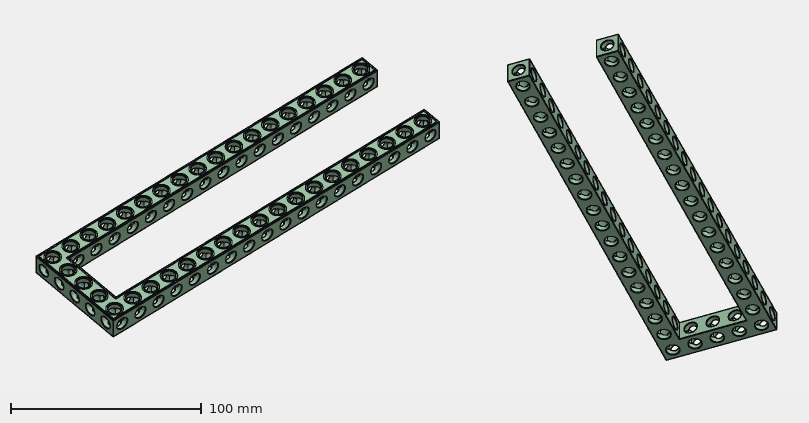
import cadquery as cq

PITCH = 12.5
CELLS_X = 5
CELLS_Y = 18
HOLE_DIAMETER = 7.0
CHAMFER = 0.3
RIM_WIDTH = 1.1
RECESS_DEPTH = 0.2

WIDTH = CELLS_X * PITCH
LENGTH = CELLS_Y * PITCH
HEIGHT = PITCH
HOLE_RADIUS = HOLE_DIAMETER / 2
MOUTH_RADIUS = HOLE_RADIUS + CHAMFER
HOLE_RIM_RADIUS = HOLE_RADIUS + RIM_WIDTH

COLUMN_X = [(i + 0.5) * PITCH - WIDTH / 2 for i in range(CELLS_X)]
ROW_Y = [(j + 0.5) * PITCH - LENGTH / 2 for j in range(CELLS_Y)]
BASE_CELLS = [(x, ROW_Y[0]) for x in COLUMN_X]
LEG_CELLS = [(x, y) for x in (COLUMN_X[0], COLUMN_X[-1]) for y in ROW_Y[1:]]
CELLS = BASE_CELLS + LEG_CELLS


def u_prism(inset, bottom, top):
    """Prism of the U outline, with every side moved inwards by `inset`."""
    outer_x = WIDTH / 2 - inset
    inner_x = WIDTH / 2 - PITCH + inset
    leg_end_y = LENGTH / 2 - inset
    base_outer_y = -LENGTH / 2 + inset
    base_inner_y = -LENGTH / 2 + PITCH - inset
    outline = [
        (-outer_x, base_outer_y),
        (outer_x, base_outer_y),
        (outer_x, leg_end_y),
        (inner_x, leg_end_y),
        (inner_x, base_inner_y),
        (-inner_x, base_inner_y),
        (-inner_x, leg_end_y),
        (-outer_x, leg_end_y),
    ]
    return cq.Workplane("XY").workplane(offset=bottom).polyline(outline).close().extrude(top - bottom)


def make_body():
    """Chamfered U; only the two vertical edges in the inner corners stay sharp."""
    body = u_prism(0, -HEIGHT / 2, HEIGHT / 2)
    inner_corner_x = WIDTH / 2 - PITCH
    inner_corner_y = PITCH - LENGTH / 2

    def is_inner_corner(edge):
        center = edge.Center()
        reach = cq.Vector(abs(center.x), center.y, center.z)
        return (reach - cq.Vector(inner_corner_x, inner_corner_y, 0)).Length < CHAMFER

    edges = [edge for edge in body.edges().vals() if not is_inner_corner(edge)]
    return body.newObject(edges).chamfer(CHAMFER)


def make_top_recess():
    """Shallow pocket in the top face, inside the edge rim and around the rims of the holes."""
    floor = HEIGHT / 2 - RECESS_DEPTH
    hole_rims = (
        cq.Workplane("XY").workplane(offset=floor)
        .pushPoints(CELLS).circle(HOLE_RIM_RADIUS).extrude(RECESS_DEPTH)
    )
    return u_prism(RIM_WIDTH, floor, HEIGHT / 2).cut(hole_rims)


def drill(body, plane_name, centers, faces):
    """Through holes normal to a plane, chamfered where they open in each face.

    Each face is its offset along the plane normal, the side it faces (1 or -1)
    and the centers of the holes that open in it.
    """
    plane = cq.Plane.named(plane_name)
    bores = cq.Workplane(plane_name).pushPoints(centers).circle(HOLE_RADIUS).extrude(LENGTH, both=True)
    mouths = []
    for offset, side, open_centers in faces:
        for u, v in open_centers:
            center = plane.toWorldCoords((u, v, offset))
            inward = plane.zDir * -side
            mouths.append(cq.Solid.makeCone(MOUTH_RADIUS, HOLE_RADIUS, CHAMFER, pnt=center, dir=inward))
    return body.cut(bores).cut(cq.Workplane(cq.Compound.makeCompound(mouths)))


z_centers = CELLS
x_centers = [(y, 0) for y in ROW_Y]
y_centers = [(x, 0) for x in COLUMN_X]
z_faces = [(HEIGHT / 2, 1, z_centers), (-HEIGHT / 2, -1, z_centers)]
x_faces = [
    (WIDTH / 2, 1, x_centers),
    (-WIDTH / 2, -1, x_centers),
    (WIDTH / 2 - PITCH, -1, x_centers[1:]),
    (PITCH - WIDTH / 2, 1, x_centers[1:]),
]
y_faces = [
    (LENGTH / 2, 1, y_centers),
    (-LENGTH / 2, -1, [y_centers[0], y_centers[-1]]),
    (LENGTH / 2 - PITCH, -1, y_centers[1:-1]),
]

body = make_body().cut(make_top_recess())
body = drill(body, "XY", z_centers, z_faces)
body = drill(body, "YZ", x_centers, x_faces)
body = drill(body, "XZ", y_centers, y_faces)
result = body